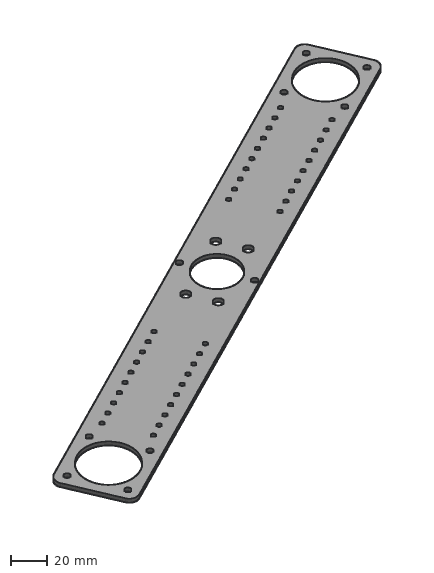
import cadquery as cq

width = 50.0
length = 397.92
thickness = 3.0
corner_radius = 6.0

end_opening_diameter = 37.0
end_opening_inset = width / 2
end_opening_y = length / 2 - end_opening_inset
end_screw_diameter = 4.0
end_screw_spacing = 35.5

row_hole_diameter = 3.0
row_hole_count = 10
row_pitch = 9.25
row_spacing = 30.0
row_start_to_opening = 114.0
row_first_y = end_opening_y - row_start_to_opening

center_opening_diameter = 30.0
mount_hole_diameter = 6.2
mount_spacing_x = 19.0
mount_spacing_y = 48.0
edge_hole_diameter = 4.2
edge_hole_spacing = 44.0


def rectangle_corners(spacing_x, spacing_y, center_y=0.0):
    """Corner points of a rectangle centred on the plate's long axis."""
    return [
        (side * spacing_x / 2, center_y + end * spacing_y / 2)
        for side in (-1, 1)
        for end in (-1, 1)
    ]


def drill(plate, points, diameter):
    """Cut round through holes at the given points."""
    holes = (
        cq.Workplane("XY")
        .pushPoints(points)
        .circle(diameter / 2)
        .extrude(thickness)
    )
    return plate.cut(holes)


def make_plate():
    """Flat plate with rounded corners, its underside at Z = 0."""
    return (
        cq.Workplane("XY")
        .rect(width, length)
        .extrude(thickness)
        .edges("|Z")
        .fillet(corner_radius)
    )


def cut_center_holes(plate):
    """Central opening with its mounting holes and the two edge holes."""
    edge_points = [(side * edge_hole_spacing / 2, 0) for side in (-1, 1)]
    plate = drill(plate, [(0, 0)], center_opening_diameter)
    plate = drill(plate, rectangle_corners(mount_spacing_x, mount_spacing_y), mount_hole_diameter)
    return drill(plate, edge_points, edge_hole_diameter)


def cut_end_holes(plate):
    """Opening and surrounding screw holes at both ends."""
    for end in (-1, 1):
        center_y = end * end_opening_y
        screw_points = rectangle_corners(end_screw_spacing, end_screw_spacing, center_y)
        plate = drill(plate, [(0, center_y)], end_opening_diameter)
        plate = drill(plate, screw_points, end_screw_diameter)
    return plate


def cut_hole_rows(plate):
    """Evenly pitched rows of small holes, mirrored across both axes."""
    for index in range(row_hole_count):
        row_y = row_first_y + index * row_pitch
        plate = drill(plate, rectangle_corners(row_spacing, 2 * row_y), row_hole_diameter)
    return plate


result = cut_hole_rows(cut_end_holes(cut_center_holes(make_plate())))